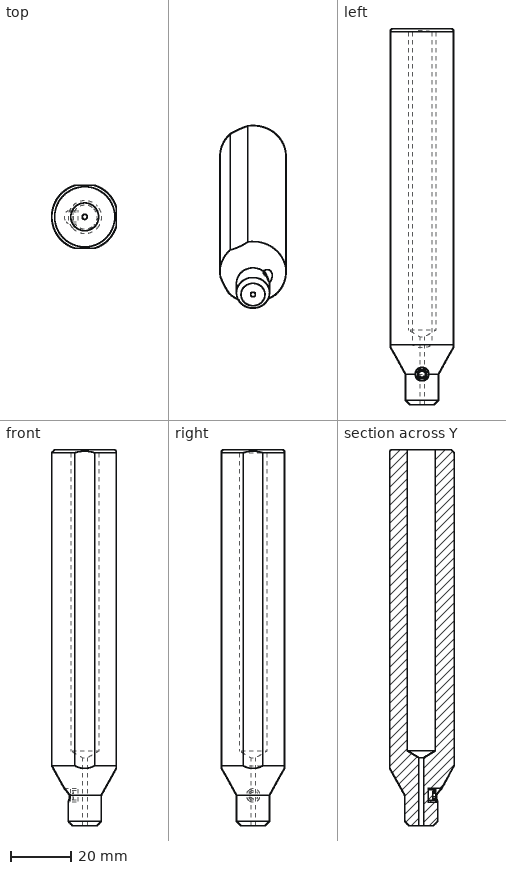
import cadquery as cq
import math

length = 125.0
handle_radius = 11.0
flat_distance = 10.5
top_chamfer = 1.0
nose_radius = 5.5
nose_chamfer = 1.5
taper_bottom = 10.1
taper_top = 20.0

bore_radius = 4.6
bore_bottom = 25.0
drill_half_angle = 59.0
drill_point_depth = bore_radius / math.tan(math.radians(drill_half_angle))
through_radius = 0.81

sleeve_radius = 2.2
screw_radius = 1.6
sleeve_length = 2.5
sleeve_face_x = -4.9
sleeve_height = 10.2
socket_width = 2.0
socket_depth = 1.0


def side_cylinder(radius, depth, outer_x):
    """Cylinder along +X that starts at outer_x at the sleeve's height."""
    return (
        cq.Workplane("YZ", origin=(outer_x, 0, sleeve_height))
        .circle(radius)
        .extrude(depth)
    )


def make_bore():
    return (
        cq.Workplane("XZ")
        .moveTo(0, 0)
        .lineTo(through_radius, 0)
        .lineTo(through_radius, bore_bottom - drill_point_depth * (1 - through_radius / bore_radius))
        .lineTo(bore_radius, bore_bottom)
        .lineTo(bore_radius, length)
        .lineTo(0, length)
        .close()
        .revolve(360, (0, 0, 0), (0, 1, 0))
    )


def make_flat_cutter(angle):
    """Block outside one flat, above the nose, turned about Z by angle."""
    return (
        cq.Workplane("XY")
        .box(handle_radius, 2 * handle_radius, length, centered=(False, True, False))
        .translate((flat_distance, 0, 0))
        .rotate((0, 0, 0), (0, 0, 1), angle)
    )


def make_handle():
    handle = (
        cq.Workplane("XZ")
        .moveTo(0, 0)
        .lineTo(nose_radius - nose_chamfer, 0)
        .lineTo(nose_radius, nose_chamfer)
        .lineTo(nose_radius, taper_bottom)
        .lineTo(handle_radius, taper_top)
        .lineTo(handle_radius, length - top_chamfer)
        .lineTo(handle_radius - top_chamfer, length)
        .lineTo(0, length)
        .close()
        .revolve(360, (0, 0, 0), (0, 1, 0))
    )
    for angle in (-90, 0, 90):
        handle = handle.cut(make_flat_cutter(angle))
    pocket_depth = handle_radius + sleeve_face_x + sleeve_length
    pocket = side_cylinder(sleeve_radius, pocket_depth, -handle_radius)
    return handle.cut(make_bore()).cut(pocket)


def make_sleeve():
    opening = side_cylinder(screw_radius, sleeve_length, sleeve_face_x)
    return side_cylinder(sleeve_radius, sleeve_length, sleeve_face_x).cut(opening)


def make_screw():
    """Headless screw filling the sleeve, with a hexagon socket whose corners point along Z."""
    hexagon_diameter = socket_width / math.cos(math.pi / 6)
    socket = (
        cq.Workplane("YZ", origin=(sleeve_face_x, 0, sleeve_height))
        .transformed(rotate=(0, 0, 90))
        .polygon(6, hexagon_diameter)
        .extrude(socket_depth)
    )
    return side_cylinder(screw_radius, sleeve_length, sleeve_face_x).cut(socket)


handle = make_handle()
sleeve = make_sleeve()
screw = make_screw()

result = cq.Compound.makeCompound([handle.val(), sleeve.val(), screw.val()])